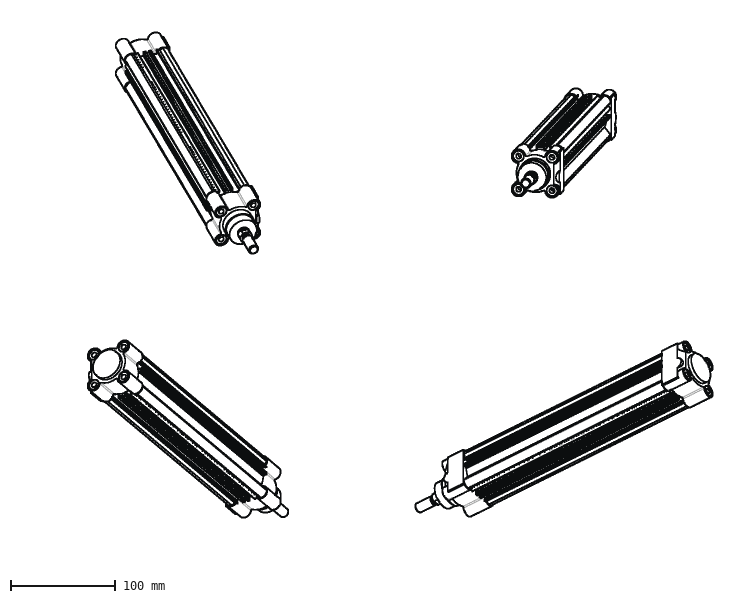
import cadquery as cq
import math

overall_length = 346.0
rear_cap_start = 3.8
cap_length = 26.0
front_cap_end = 298.0
pilot_end = 305.0
collar_end = 314.5
barrel_start = rear_cap_start + cap_length
barrel_end = front_cap_end - cap_length

cap_radius = 18.5
post_root_fillet = 1.0
post_spacing = 32.5
post_diameter = 13.5
post_radius = post_diameter / 2
post_center = post_spacing / 2
pilot_radius = 15.0
collar_radius = 14.0
counterbore_radius = 5.2
counterbore_depth = 0.7
screw_hole_radius = 2.5
screw_hole_depth = 10.5
drill_point_depth = 1.5

port_face = post_center + post_radius
pad_setback = 6.5
pad_height = 41.5
pad_thickness = 3.5
ramp_height = 26.3
port_boss_radius = 6.2
port_boss_setback = 8.3
port_boss_z = -3.5

barrel_web_radius = cap_radius
barrel_half_width = 22.0
barrel_corner_radius = barrel_half_width - post_center
slot_floor = 17.3
slot_inner_edge = 3.8
slot_outer_edge = 9.5
slot_undercut_edge = 11.0
lip_thickness = 1.5
rail_notch = 0.85
rail_notch_outer = 20.8
rail_notch_inner = 19.7
vee_inner_edge = 9.7
vee_apex = 12.8
vee_outer_edge = 16.0
vee_floor = 20.0
rail_groove_half_width = 1.55
rail_groove_floor = 20.5
web_top = 0.7
web_shoulder = 19.7
web_bottom = -8.3
ledge_edge = -15.5
cut_clearance = 3.5

neck_radius = 5.5
neck_end = 316.2
rod_radius = 6.0
thread_radius = 5.0
relief_radius = 3.8
relief_start = 324.0
thread_start = 327.0
thread_chamfer = 1.0
flat_start = 318.3
flat_end = 323.5
flat_height = 5.0


def cylinder_along_x(radius, start, end):
    return cq.Workplane("YZ", origin=(start, 0, 0)).circle(radius).extrude(end - start)


def post_centers():
    return [(0, y, z) for y in (-post_center, post_center) for z in (-post_center, post_center)]


def make_screw_hole():
    """Counterbored blind hole with a drill point, opening at the origin toward +X."""
    hole_outline = [
        (0, 0),
        (0, counterbore_radius),
        (counterbore_depth, counterbore_radius),
        (counterbore_depth, screw_hole_radius),
        (screw_hole_depth, screw_hole_radius),
        (screw_hole_depth + drill_point_depth, 0),
    ]
    return cq.Workplane("XY").polyline(hole_outline).close().revolve(360, (0, 0, 0), (1, 0, 0))


def make_port_side():
    """Flat pad, ramp and round port boss on the +Y side, with the outer cap face at x = 0."""
    pad = cq.Workplane("XY").box(
        cap_length - pad_setback, pad_thickness, pad_height, centered=(False, False, True)
    ).translate((pad_setback, port_face - pad_thickness, 0))
    ramp_outline = [
        (0, 0),
        (0, cap_radius),
        (pad_setback, port_face),
        (cap_length, port_face),
        (cap_length, 0),
    ]
    ramp = cq.Workplane("XY").polyline(ramp_outline).close().extrude(ramp_height / 2, both=True)
    boss = (
        cq.Workplane("XZ", origin=(port_boss_setback, 0, port_boss_z))
        .circle(port_boss_radius)
        .extrude(-port_face)
    )
    return pad.union(ramp).union(boss)


def is_post_root(edge):
    """True for the inside corners where the posts meet the round middle of the cap."""
    center = edge.Center()
    on_middle = math.isclose(math.hypot(center.y, center.z), cap_radius, abs_tol=0.05)
    return on_middle and min(abs(center.y), abs(center.z)) > post_center / 2


def make_cap():
    """Cap with its outer face at x = 0 and its inner face at x = cap_length."""
    cap = cylinder_along_x(cap_radius, 0, cap_length)
    post = cylinder_along_x(post_radius, 0, cap_length)
    for center in post_centers():
        cap = cap.union(post.translate(center))
    cap = cap.edges("|X").filter(is_post_root).fillet(post_root_fillet)
    cap = cap.union(make_port_side())
    screw_hole = make_screw_hole()
    for center in post_centers():
        cap = cap.cut(screw_hole.translate(center))
    return cap


def make_rear_cap():
    cap = make_cap().translate((rear_cap_start, 0, 0))
    return cap.union(cylinder_along_x(pilot_radius, 0, rear_cap_start))


def make_front_cap():
    cap = make_cap().mirror("YZ").translate((front_cap_end, 0, 0))
    cap = cap.union(cylinder_along_x(pilot_radius, front_cap_end, pilot_end))
    return cap.union(cylinder_along_x(collar_radius, pilot_end, collar_end))


def barrel_cutter(outline):
    """Full-length cutter from points (across, outward), for the +Z side of the barrel."""
    blank = cq.Workplane("YZ", origin=(barrel_start, 0, 0)).polyline(outline).close()
    return blank.extrude(barrel_end - barrel_start)


def make_slot_cutter():
    """T-slot and the vee groove beside it, which leave a slanted lip between them."""
    outside = barrel_half_width + cut_clearance
    lip_inside = barrel_half_width - lip_thickness
    slot = barrel_cutter([
        (slot_inner_edge, outside),
        (slot_inner_edge, rail_notch_outer),
        (slot_inner_edge - rail_notch, rail_notch_outer),
        (slot_inner_edge - rail_notch, rail_notch_inner),
        (slot_inner_edge, rail_notch_inner),
        (slot_inner_edge, slot_floor),
        (slot_undercut_edge, slot_floor),
        (slot_undercut_edge, rail_notch_inner),
        (slot_outer_edge, lip_inside),
        (slot_outer_edge, outside),
    ])
    vee = barrel_cutter([
        (vee_inner_edge, outside),
        (vee_inner_edge, barrel_half_width),
        (vee_apex, vee_floor),
        (vee_outer_edge, barrel_half_width),
        (vee_outer_edge, outside),
    ])
    return slot.union(vee)


def make_rail_groove_cutter():
    outside = barrel_half_width + cut_clearance
    return barrel_cutter([
        (-rail_groove_half_width, outside),
        (-rail_groove_half_width, rail_groove_floor),
        (rail_groove_half_width, rail_groove_floor),
        (rail_groove_half_width, outside),
    ])


def make_side_recess_cutter():
    """Wide recess on the +Y side, from the rail down to the slanted lower ledge."""
    outside = barrel_half_width + cut_clearance

    def web_point(z):
        return (math.sqrt(barrel_web_radius**2 - z**2), z)

    return (
        cq.Workplane("YZ", origin=(barrel_start, 0, 0))
        .moveTo(outside, rail_groove_half_width)
        .lineTo(rail_groove_floor, rail_groove_half_width)
        .lineTo(web_shoulder, web_top)
        .lineTo(*web_point(web_top))
        .threePointArc(web_point((web_top + web_bottom) / 2), web_point(web_bottom))
        .lineTo(barrel_half_width, ledge_edge)
        .lineTo(outside, ledge_edge)
        .close()
        .extrude(barrel_end - barrel_start)
    )


def make_barrel():
    barrel = (
        cq.Workplane("YZ", origin=(barrel_start, 0, 0))
        .rect(2 * barrel_half_width, 2 * barrel_half_width)
        .extrude(barrel_end - barrel_start)
        .edges("|X")
        .fillet(barrel_corner_radius)
    )
    slot = make_slot_cutter()
    rail_groove = make_rail_groove_cutter()
    side_recess = make_side_recess_cutter()

    top_cutter = slot.union(slot.mirror("XZ")).union(rail_groove)
    barrel = barrel.cut(top_cutter).cut(top_cutter.mirror("XY"))

    side_slot = slot.rotate((0, 0, 0), (1, 0, 0), -90).mirror("XY")
    side_cutter = side_slot.union(side_recess)
    return barrel.cut(side_cutter).cut(side_cutter.mirror("XZ"))


def make_rod():
    neck = cylinder_along_x(neck_radius, collar_end, neck_end)
    rod = cylinder_along_x(rod_radius, neck_end, relief_start)
    flat_block = cq.Workplane("XY").box(
        flat_end - flat_start, 2 * rod_radius, rod_radius, centered=(False, True, False)
    ).translate((flat_start, 0, flat_height))
    rod = rod.cut(flat_block).cut(flat_block.mirror("XY"))
    relief = cylinder_along_x(relief_radius, relief_start, thread_start)
    thread = cylinder_along_x(thread_radius, thread_start, overall_length)
    thread = thread.faces(">X").chamfer(thread_chamfer)
    return neck.union(rod).union(relief).union(thread)


rear_cap = make_rear_cap()
barrel = make_barrel()
front_cap = make_front_cap()
piston_rod = make_rod()

result = cq.Compound.makeCompound([
    rear_cap.solids().val(),
    barrel.solids().val(),
    front_cap.solids().val(),
    piston_rod.solids().val(),
])